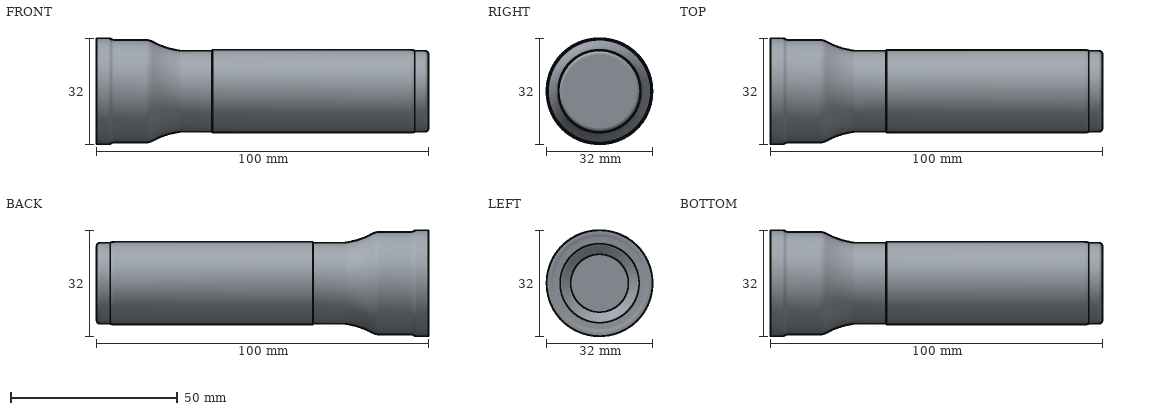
import cadquery as cq
import math


total_length = 100.0
bezel_end = 3.6
bezel_round_end = 4.3
barrel_start = 5.3
barrel_end = 14.8
flare_start = 16.6
flare_end = 24.2
neck_start = 25.1
seam = 34.7
grip_end = 94.6
tail_start = 95.8

bezel_radius = 16.0
barrel_radius = 31.0 / 2
neck_radius = 24.5 / 2
grip_radius = 25.0 / 2
flare_start_radius = 15.1
flare_end_radius = 12.4
flare_sag = 0.4
bezel_step_radius = 15.8

bezel_edge = 0.3
grip_step = grip_radius - neck_radius
tail_fillet = 1.2

lip_radius = 15.0
lip_round_radius = 14.7
lip_foot_radius = 14.4
dish_outer_radius = 13.9
reflector_rim_radius = 11.9
reflector_mouth_radius = 11.4
lens_radius = 8.7
lip_round_depth = 0.03
lip_foot_depth = 0.1
dish_outer_depth = 0.2
dish_inner_depth = 0.3
mouth_depth = 0.5
lens_depth = 2.2

ARC_MID = math.sqrt(0.5)


def revolve_about_x(profile):
    """Close a half profile drawn in XY and revolve it about the X axis."""
    return profile.close().revolve(360, (0, 0, 0), (1, 0, 0))


def flare_midpoint():
    """Point on the concave flare, sunk below the middle of its chord."""
    mid_x = (flare_start + flare_end) / 2
    mid_radius = (flare_start_radius + flare_end_radius) / 2
    return mid_x, mid_radius - flare_sag


def step_midpoint():
    """Middle of the concave arc that runs out tangent to the barrel."""
    run = barrel_start - bezel_round_end
    rise = bezel_step_radius - barrel_radius
    arc_radius = (run**2 + rise**2) / (2 * rise)
    half_angle = math.asin(run / arc_radius) / 2
    return (
        barrel_start - arc_radius * math.sin(half_angle),
        barrel_radius + arc_radius * (1 - math.cos(half_angle)),
    )


def make_head():
    profile = (
        cq.Workplane("XY")
        .moveTo(lens_depth, 0)
        .lineTo(lens_depth, lens_radius)
        .lineTo(mouth_depth, reflector_mouth_radius)
        .lineTo(dish_inner_depth, reflector_rim_radius)
        .lineTo(dish_outer_depth, dish_outer_radius)
        .lineTo(lip_foot_depth, lip_foot_radius)
        .lineTo(lip_round_depth, lip_round_radius)
        .lineTo(0, lip_radius)
        .lineTo(0, bezel_radius - bezel_edge)
        .threePointArc(
            (bezel_edge * (1 - ARC_MID), bezel_radius - bezel_edge * (1 - ARC_MID)),
            (bezel_edge, bezel_radius),
        )
        .lineTo(bezel_end, bezel_radius)
        .tangentArcPoint((bezel_round_end, bezel_step_radius), relative=False)
        .threePointArc(step_midpoint(), (barrel_start, barrel_radius))
        .lineTo(barrel_end, barrel_radius)
        .tangentArcPoint((flare_start, flare_start_radius), relative=False)
        .threePointArc(flare_midpoint(), (flare_end, flare_end_radius))
        .lineTo(neck_start, neck_radius)
        .lineTo(seam, neck_radius)
        .lineTo(seam, 0)
    )
    return revolve_about_x(profile)


def make_handle():
    profile = (
        cq.Workplane("XY")
        .moveTo(seam, 0)
        .lineTo(seam, neck_radius)
        .lineTo(seam + grip_step, grip_radius)
        .lineTo(grip_end, grip_radius)
        .tangentArcPoint((tail_start, neck_radius), relative=False)
        .lineTo(total_length, neck_radius)
        .lineTo(total_length, 0)
    )
    return revolve_about_x(profile).faces(">X").edges().fillet(tail_fillet)


head = make_head()
handle = make_handle()

result = cq.Compound.makeCompound([head.val(), handle.val()])